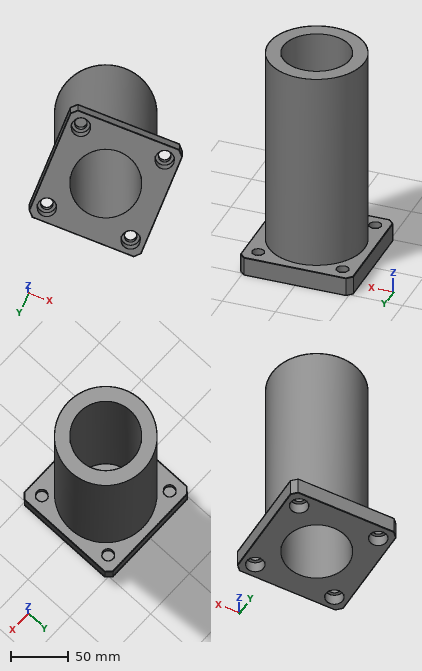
import cadquery as cq

total_height = 209.0
flange_side = 106.0
flange_thickness = 18.2
corner_cut = 5.0
edge_chamfer = 0.5

tube_diameter = 90.0
bore_diameter = 63.0

hole_diameter = 11.0
counterbore_diameter = 17.0
counterbore_depth = 11.7
hole_spacing = 79.2


def make_flange():
    """Square plate with cut corners and small chamfers around both faces."""
    plate = cq.Workplane("XY").rect(flange_side, flange_side).extrude(flange_thickness)
    plate = plate.edges("|Z").chamfer(corner_cut)
    return plate.faces("<Z or >Z").edges().chamfer(edge_chamfer)


def make_tube():
    """Round body standing on the flange."""
    return cq.Workplane("XY").circle(tube_diameter / 2).extrude(total_height)


def make_bore():
    """Cutter for the bore through the whole height."""
    return cq.Workplane("XY").circle(bore_diameter / 2).extrude(total_height)


def make_corner_cylinders(diameter, height):
    """Four upright cylinders on the mounting hole pattern, rising from the bottom face."""
    return (
        cq.Workplane("XY")
        .rect(hole_spacing, hole_spacing, forConstruction=True)
        .vertices()
        .circle(diameter / 2)
        .extrude(height)
    )


def make_mounting_holes():
    """Cutter for the through holes in the flange, counterbored from below."""
    through_holes = make_corner_cylinders(hole_diameter, flange_thickness)
    counterbores = make_corner_cylinders(counterbore_diameter, counterbore_depth)
    return through_holes.union(counterbores)


result = make_flange().union(make_tube()).cut(make_bore()).cut(make_mounting_holes())